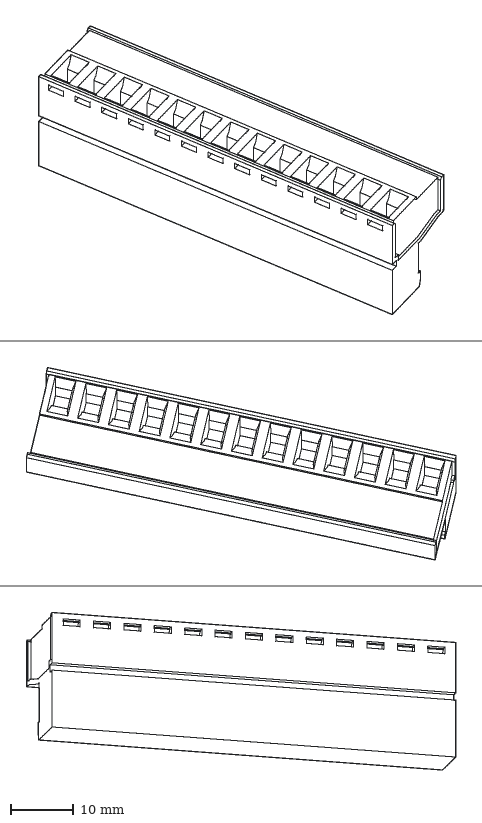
import cadquery as cq


length = 67.55
depth = 15.5
height = 19.2

back_top = 18.6
top_step_y = 8.0
overhang_z = 10.8
neck_z = 9.5
overhang_slope_back = 13.8
overhang_slope_front = 8.8
corner_chamfer = 0.2

plug_depth = 7.9
latch_height = 3.05
latch_projection = 0.6
latch_taper_height = 1.35
latch_taper = 0.35

slit_depth = 1.2
slit_bottom = 9.5
slit_top = 10.75

end_recess = 0.5
shell_wall = 1.0
recess_floor = 10.3
recess_shoulder = 11.55
recess_slope_back = 13.25
recess_slope_front = 8.4
recess_step_y = 1.8

wall_lip = 0.6
wall_bevel = shell_wall - wall_lip
front_groove_back = 1.1
front_groove_depth = 1.1

cell_count = 13
cell_row_span = 61.0
cell_pitch = cell_row_span / (cell_count - 1)
mouth_width = 3.45
mouth_front = 1.3
mouth_back = 7.3
throat_width = 2.8
throat_front = 2.6
throat_back = 5.6
front_slope_bottom = height - (throat_front - mouth_front)
back_slope_bottom = height - (mouth_back - throat_back)
side_slope_depth = 1.1
side_slope_bottom = height - side_slope_depth
cell_floor = 13.3

window_width = 2.85
window_bottom = 17.15
window_top = 18.25
window_depth_top = 0.95
window_depth_bottom = 1.7


def bar(profile, bar_length, x_center=0.0):
    """Extrude a closed (Y, Z) outline along X, centred on x_center."""
    start = x_center - bar_length / 2
    return cq.Workplane("YZ", origin=(start, 0, 0)).polyline(profile).close().extrude(bar_length)


def housing():
    latch_y = plug_depth + latch_projection
    return bar(
        [
            (0, 0),
            (latch_y - latch_taper, 0),
            (latch_y, latch_taper_height),
            (latch_y, latch_height),
            (plug_depth, latch_height),
            (plug_depth, neck_z),
            (overhang_slope_front, neck_z),
            (overhang_slope_back, overhang_z),
            (depth - corner_chamfer, overhang_z),
            (depth, overhang_z + corner_chamfer),
            (depth, back_top),
            (top_step_y, back_top),
            (top_step_y, height),
            (0, height),
            (0, slit_top),
            (slit_depth, slit_top),
            (slit_depth, slit_bottom),
            (0, slit_bottom),
        ],
        length,
    )


def end_recesses():
    back_y = depth - shell_wall
    profile = [
        (shell_wall, recess_shoulder),
        (recess_step_y, recess_shoulder),
        (recess_step_y, recess_floor),
        (recess_slope_front, recess_floor),
        (recess_slope_back, recess_shoulder),
        (back_y, recess_shoulder),
        (back_y, height),
        (shell_wall, height),
    ]
    offset = (length - end_recess) / 2
    return bar(profile, end_recess, -offset).union(bar(profile, end_recess, offset))


def wall_grooves():
    front_bottom = height - front_groove_depth
    front = bar(
        [
            (wall_lip, height),
            (shell_wall, height - wall_bevel),
            (shell_wall, front_bottom),
            (front_groove_back, front_bottom),
            (front_groove_back, height),
        ],
        length,
    )
    back_y = depth - shell_wall
    back = bar(
        [
            (depth - wall_lip, back_top),
            (back_y, back_top - wall_bevel),
            (back_y, back_top),
        ],
        length,
    )
    return front.union(back)


def cell(x):
    """Where a funnel seen along X and a funnel seen along Y overlap."""
    lengthwise = bar(
        [
            (mouth_front, height),
            (throat_front, front_slope_bottom),
            (throat_front, cell_floor),
            (throat_back, cell_floor),
            (throat_back, back_slope_bottom),
            (mouth_back, height),
        ],
        mouth_width,
        x,
    )
    half_mouth = mouth_width / 2
    half_throat = throat_width / 2
    crosswise = (
        cq.Workplane("XZ", origin=(x, 0, 0))
        .moveTo(-half_mouth, height)
        .lineTo(-half_throat, side_slope_bottom)
        .lineTo(-half_throat, cell_floor)
        .lineTo(half_throat, cell_floor)
        .lineTo(half_throat, side_slope_bottom)
        .lineTo(half_mouth, height)
        .close()
        .extrude(-depth)
    )
    return lengthwise.intersect(crosswise)


def window(x):
    """A shallow pocket in the front face, deeper at its floor than at its top."""
    profile = [
        (0, window_bottom),
        (window_depth_bottom, window_bottom),
        (window_depth_top, window_top),
        (0, window_top),
    ]
    return bar(profile, window_width, x)


result = housing().cut(end_recesses()).cut(wall_grooves())
for index in range(cell_count):
    cell_x = (index - (cell_count - 1) / 2) * cell_pitch
    result = result.cut(cell(cell_x)).cut(window(cell_x))